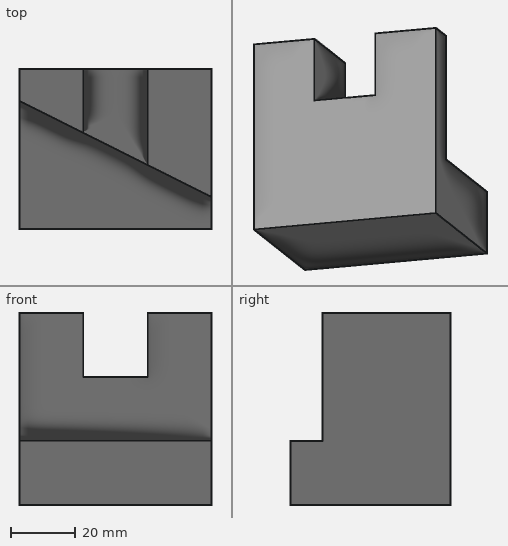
import cadquery as cq

width = 60.0
depth = 50.0
height = 60.0

base_height = 20.0
wall_depth_left = 10.0
wall_depth_right = 40.0

slot_width = 20.0
slot_depth = 20.0


def make_base():
    """Rectangular slab under the whole part."""
    return cq.Workplane("XY").box(width, depth, base_height, centered=False)


def make_wall():
    """Upright wall with a slanted front face, thicker towards +X."""
    return (
        cq.Workplane("XY")
        .polyline([
            (0, depth),
            (0, depth - wall_depth_left),
            (width, depth - wall_depth_right),
            (width, depth),
        ])
        .close()
        .extrude(height)
    )


def make_slot():
    """Block that cuts the slot along Y through the top of the wall."""
    slot_left = (width - slot_width) / 2
    slot_floor = height - slot_depth
    return (
        cq.Workplane("XY")
        .box(slot_width, depth, slot_depth, centered=False)
        .translate((slot_left, 0, slot_floor))
    )


result = make_base().union(make_wall()).cut(make_slot()).clean()